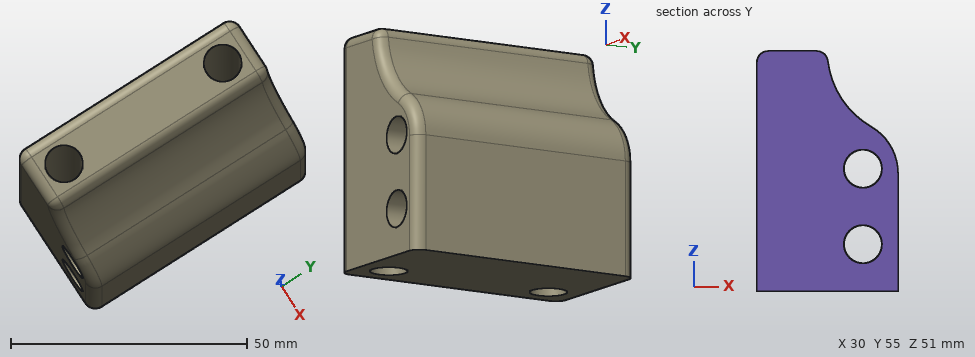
import cadquery as cq
import math

WIDTH = 30.0
LENGTH = 55.0
HEIGHT = 51.0
EDGE_RADIUS = 2.5

TOP_WIDTH = 15.0
FRONT_WALL_HEIGHT = 25.0
CONVEX_RADIUS = 11.5

HOLE_DIAMETER = 8.0
HOLE_INSET = 7.5
CROSS_HOLE_HEIGHTS = (10.0, 26.0)


def point_on_arc(center, radius, angle):
    return (center[0] + radius * math.cos(angle), center[1] + radius * math.sin(angle))


def shouldered_block():
    """Extrude the XZ side profile along the full length."""
    convex_center = (WIDTH - CONVEX_RADIUS, FRONT_WALL_HEIGHT)
    drop = HEIGHT - FRONT_WALL_HEIGHT

    reach = convex_center[0] - TOP_WIDTH
    concave_radius = (drop**2 + reach**2 - CONVEX_RADIUS**2) / (2 * (CONVEX_RADIUS + reach))
    concave_center = (TOP_WIDTH + concave_radius, HEIGHT)
    join_angle = math.atan2(drop, concave_center[0] - convex_center[0])

    join = point_on_arc(convex_center, CONVEX_RADIUS, join_angle)
    convex_middle = point_on_arc(convex_center, CONVEX_RADIUS, join_angle / 2)
    concave_middle = point_on_arc(concave_center, concave_radius, math.pi + join_angle / 2)

    return (
        cq.Workplane("XZ")
        .lineTo(WIDTH, 0)
        .lineTo(WIDTH, FRONT_WALL_HEIGHT)
        .threePointArc(convex_middle, join)
        .threePointArc(concave_middle, (TOP_WIDTH, HEIGHT))
        .lineTo(0, HEIGHT)
        .close()
        .extrude(-LENGTH)
    )


def round_edges(block):
    """Round both end outlines and the two top edges; the bottom rim stays sharp."""
    end_outlines = block.faces("<Y or >Y").edges("not <Z")
    top_edges = block.faces(">Z").edges("|Y")
    return block.newObject(end_outlines.vals() + top_edges.vals()).fillet(EDGE_RADIUS)


def vertical_holes():
    """Two holes through the full height, beside the tall flat -X face."""
    return (
        cq.Workplane("XY")
        .pushPoints([(HOLE_INSET, HOLE_INSET), (HOLE_INSET, LENGTH - HOLE_INSET)])
        .circle(HOLE_DIAMETER / 2)
        .extrude(HEIGHT)
    )


def cross_holes():
    """Two holes through the full length, beside the +X front wall."""
    return (
        cq.Workplane("XZ")
        .pushPoints([(WIDTH - HOLE_INSET, height) for height in CROSS_HOLE_HEIGHTS])
        .circle(HOLE_DIAMETER / 2)
        .extrude(-LENGTH)
    )


result = round_edges(shouldered_block()).cut(vertical_holes()).cut(cross_holes())